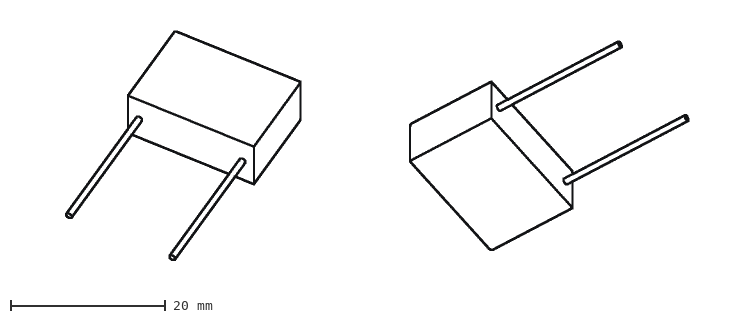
import cadquery as cq

case_width = 18.5
case_height = 7.3
overall_length = 32.0
case_length = 13.0
back_fillet = 0.5

lead_spacing = 15.17
lead_diameter = 0.85
lead_length = overall_length - case_length



def make_case():
    """Rectangular block with the edges of its back face rounded."""
    block = cq.Workplane("XY").box(case_width, case_length, case_height, centered=(True, False, True))
    return block.faces(">Y").edges().fillet(back_fillet)


def make_lead(x):
    """Straight round wire that butts against the front face and runs toward -Y."""
    return cq.Workplane("XZ").center(x, 0).circle(lead_diameter / 2).extrude(lead_length)


case = make_case()
leads = [make_lead(side * lead_spacing / 2) for side in (-1, 1)]

result = cq.Compound.makeCompound([case.val(), *[lead.val() for lead in leads]])